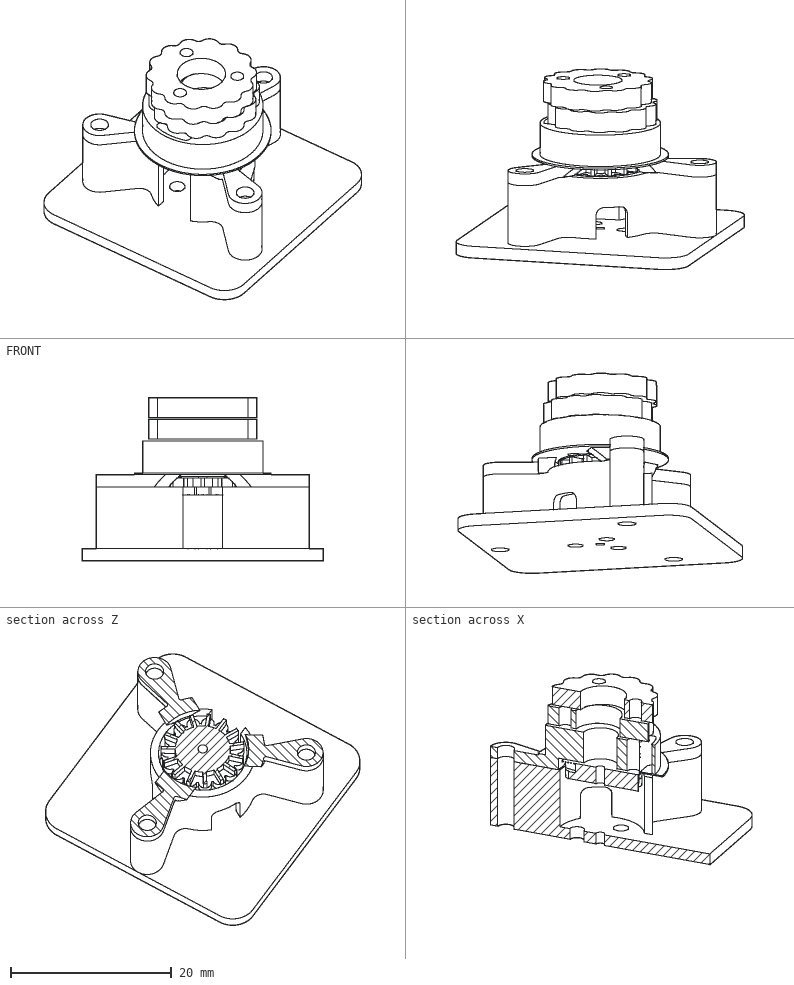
import cadquery as cq
import math

PLATE_SIDE = 30.0
PLATE_THICKNESS = 1.5
PLATE_CORNER_RADIUS = 3.0
ARM_ANGLES = (90, 210, 330)
OPENING_ANGLE = 270
SLOT_ANGLES = (30, 150)
PIN_ANGLES = (OPENING_ANGLE, *SLOT_ANGLES)

BOSS_RADIUS = 2.1
BOLT_CIRCLE_RADIUS = PLATE_SIDE / 2 - BOSS_RADIUS
BOLT_HOLE_DIAMETER = 2.2
ARM_TAPER = math.radians(15)
ARM_APEX_RADIUS = BOLT_CIRCLE_RADIUS - BOSS_RADIUS / math.sin(ARM_TAPER)
ARM_THICKNESS = 1.5

BASE_TOP = 9.2
WALL_RADIUS = 6.5
BORE_DIAMETER = 10.98
WALL_FILLET = 1.5
OPENING_WIDTH = 4.92
SLOT_WIDTH = 4.0
SLOT_HEIGHT = 4.0
SLOT_FILLET = 1.0
SHAFT_HOLE_DIAMETER = 1.1
PLATE_SCREW_HOLE_DIAMETER = 1.9
PLATE_SCREW_RADIUS = 3.18

COVER_ARM_TOP = BASE_TOP + ARM_THICKNESS
FLANGE_DIAMETER = 17.0
FLANGE_THICKNESS = 0.2
DRUM_DIAMETER = 15.0
DRUM_TOP = 14.9
DRUM_BORE_DIAMETER = 4.5
PIN_CIRCLE_RADIUS = 4.5
PIN_HOLE_DIAMETER = 1.62
GUSSET_INNER_RADIUS = 5.7
GUSSET_OUTER_RADIUS = 7.75
GUSSET_BOTTOM_HALF_WIDTH = 1.2
GUSSET_TOP_HALF_WIDTH = 3.03
GUSSET_FILLET = 0.27
POCKET_INNER_Y = -5.5
POCKET_OUTER_RADIUS = 7.02
POCKET_CORNER_RADIUS = 0.6

HUB_BOTTOM = 8.2
HUB_TOP = 10.47
HUB_CAP_THICKNESS = 0.15
HUB_RADIUS = 5.25
HUB_CORE_RADIUS = 3.45
RIB_COUNT = 15
RIB_WIDTH = 0.45
RIB_OUTER_RADIUS = 5.2
PEG_DIAMETER = 1.6
PEG_CIRCLE_RADIUS = 4.38

DISC_THICKNESS = 2.5
DISC_GAP = 0.2
LOBE_COUNT = 14
SAMPLES_PER_LOBE = 10
ECCENTRICITY = 0.3
ROLLER_DIAMETER = 1.0
DISC_MEAN_RADIUS = 6.57
DISC_BORE_DIAMETER = 6.0
DISC_HOLE_DIAMETER = 1.6


def cylinder(radius, bottom, top):
    """Solid cylinder on the Z axis between two heights."""
    return cq.Workplane("XY").workplane(offset=bottom).circle(radius).extrude(top - bottom)


def polar_point(radius, angle):
    """Point at an angle in degrees around the Z axis."""
    return (radius * math.cos(math.radians(angle)), radius * math.sin(math.radians(angle)))


def round_columns(points, diameter, bottom, top):
    """Vertical cylinders at the given points, for holes or pegs."""
    start = cq.Workplane("XY").workplane(offset=bottom)
    return start.pushPoints(points).circle(diameter / 2).extrude(top - bottom)


def turned(body, angle):
    """The body turned about the Z axis by an angle in degrees."""
    return body.rotate((0, 0, 0), (0, 0, 1), angle)


def arm_with_ring(ring_radius, fillet_radius, bottom, top):
    """Teardrop arm along +X, joined by concave fillets to a disc around the Z axis."""
    flank_offset = ARM_APEX_RADIUS * math.sin(ARM_TAPER)
    center_across = fillet_radius - flank_offset
    center_along = math.sqrt((ring_radius + fillet_radius) ** 2 - center_across**2)

    def point(along, across):
        return (
            along * math.cos(ARM_TAPER) - across * math.sin(ARM_TAPER),
            along * math.sin(ARM_TAPER) + across * math.cos(ARM_TAPER),
        )

    def mirrored(p):
        return (p[0], -p[1])

    center = point(center_along, center_across)
    to_ring = ring_radius / (ring_radius + fillet_radius)
    ring_touch = (center[0] * to_ring, center[1] * to_ring)
    flank_touch = point(center_along, -flank_offset)
    to_axis = math.atan2(-center[1], -center[0])
    to_flank = math.atan2(flank_touch[1] - center[1], flank_touch[0] - center[0])
    middle = (to_axis % math.tau + to_flank % math.tau) / 2
    fillet_middle = (
        center[0] + fillet_radius * math.cos(middle),
        center[1] + fillet_radius * math.sin(middle),
    )
    boss_touch = (
        BOLT_CIRCLE_RADIUS - BOSS_RADIUS * math.sin(ARM_TAPER),
        BOSS_RADIUS * math.cos(ARM_TAPER),
    )
    return (
        cq.Workplane("XY")
        .workplane(offset=bottom)
        .moveTo(0, 0)
        .lineTo(*ring_touch)
        .threePointArc(fillet_middle, flank_touch)
        .lineTo(*boss_touch)
        .threePointArc((BOLT_CIRCLE_RADIUS + BOSS_RADIUS, 0), mirrored(boss_touch))
        .lineTo(*mirrored(flank_touch))
        .threePointArc(mirrored(fillet_middle), mirrored(ring_touch))
        .close()
        .extrude(top - bottom)
    )


def bolt_holes(bottom, top):
    """Cutters for the screw holes at the arm ends."""
    points = [polar_point(BOLT_CIRCLE_RADIUS, angle) for angle in ARM_ANGLES]
    return round_columns(points, BOLT_HOLE_DIAMETER, bottom, top)


def make_base():
    plate = (
        cq.Workplane("XY")
        .rect(PLATE_SIDE, PLATE_SIDE)
        .extrude(PLATE_THICKNESS)
        .edges("|Z")
        .fillet(PLATE_CORNER_RADIUS)
    )
    wall = cylinder(WALL_RADIUS, PLATE_THICKNESS, BASE_TOP)
    arm = arm_with_ring(WALL_RADIUS, WALL_FILLET, PLATE_THICKNESS, BASE_TOP)
    for angle in ARM_ANGLES:
        wall = wall.union(turned(arm, angle))
    wall = wall.cut(cylinder(BORE_DIAMETER / 2, PLATE_THICKNESS, BASE_TOP))

    opening = (
        cq.Workplane("XY")
        .box(2 * WALL_RADIUS, OPENING_WIDTH, BASE_TOP - PLATE_THICKNESS, centered=(False, True, False))
        .translate((0, 0, PLATE_THICKNESS))
    )
    slot = (
        cq.Workplane("XY")
        .box(2 * WALL_RADIUS, SLOT_WIDTH, SLOT_HEIGHT, centered=(False, True, False))
        .edges("|X and >Z")
        .fillet(SLOT_FILLET)
        .translate((0, 0, PLATE_THICKNESS))
    )
    wall = wall.cut(turned(opening, OPENING_ANGLE))
    for angle in SLOT_ANGLES:
        wall = wall.cut(turned(slot, angle))

    screw_points = [polar_point(PLATE_SCREW_RADIUS, angle) for angle in ARM_ANGLES]
    return (
        plate.union(wall)
        .cut(bolt_holes(0, BASE_TOP))
        .cut(round_columns(screw_points, PLATE_SCREW_HOLE_DIAMETER, 0, PLATE_THICKNESS))
        .cut(cylinder(SHAFT_HOLE_DIAMETER / 2, 0, PLATE_THICKNESS))
    )


def make_cover_arm():
    """Arm along +X whose inner end widens upward into a gusset."""
    gusset = (
        cq.Workplane("YZ")
        .polyline(
            [
                (-GUSSET_BOTTOM_HALF_WIDTH, BASE_TOP),
                (GUSSET_BOTTOM_HALF_WIDTH, BASE_TOP),
                (GUSSET_TOP_HALF_WIDTH, COVER_ARM_TOP),
                (-GUSSET_TOP_HALF_WIDTH, COVER_ARM_TOP),
            ]
        )
        .close()
        .extrude(GUSSET_OUTER_RADIUS)
        .intersect(cylinder(GUSSET_OUTER_RADIUS, BASE_TOP, COVER_ARM_TOP))
    )
    return (
        arm_with_ring(GUSSET_OUTER_RADIUS, GUSSET_FILLET, BASE_TOP, COVER_ARM_TOP)
        .union(gusset)
        .cut(cylinder(GUSSET_INNER_RADIUS, BASE_TOP, COVER_ARM_TOP))
    )


def make_cover():
    flange_top = COVER_ARM_TOP + FLANGE_THICKNESS
    cover = cylinder(FLANGE_DIAMETER / 2, COVER_ARM_TOP, flange_top)
    cover = cover.union(cylinder(DRUM_DIAMETER / 2, flange_top, DRUM_TOP))
    arm = make_cover_arm()
    for angle in ARM_ANGLES:
        cover = cover.union(turned(arm, angle))

    pocket = (
        cylinder(POCKET_OUTER_RADIUS, flange_top, DRUM_TOP)
        .intersect(
            cq.Workplane("XY")
            .box(OPENING_WIDTH, POCKET_OUTER_RADIUS, DRUM_TOP, centered=(True, False, False))
            .translate((0, POCKET_INNER_Y - POCKET_OUTER_RADIUS, 0))
        )
        .edges("|Z")
        .fillet(POCKET_CORNER_RADIUS)
    )
    pin_points = [polar_point(PIN_CIRCLE_RADIUS, angle) for angle in PIN_ANGLES]
    return (
        cover.cut(pocket)
        .cut(cylinder(DRUM_BORE_DIAMETER / 2, COVER_ARM_TOP, DRUM_TOP))
        .cut(round_columns(pin_points, PIN_HOLE_DIAMETER, COVER_ARM_TOP, DRUM_TOP))
        .cut(bolt_holes(BASE_TOP, COVER_ARM_TOP))
    )


def make_hub():
    """Core under a thin cap, with upright ribs above and round pegs below."""
    cap = cylinder(HUB_RADIUS, HUB_TOP - HUB_CAP_THICKNESS, HUB_TOP)
    core = cylinder(HUB_CORE_RADIUS, BASE_TOP, HUB_TOP)
    lower_core = cylinder(PEG_CIRCLE_RADIUS, HUB_BOTTOM, BASE_TOP)

    angles = [OPENING_ANGLE + index * 360 / RIB_COUNT for index in range(RIB_COUNT)]
    peg_points = [polar_point(PEG_CIRCLE_RADIUS, angle) for angle in angles]
    pegs = round_columns(peg_points, PEG_DIAMETER, HUB_BOTTOM, BASE_TOP)

    rib_inner_radius = HUB_CORE_RADIUS - RIB_WIDTH
    rib_length = RIB_OUTER_RADIUS - rib_inner_radius
    rib = (
        cq.Workplane("XY")
        .box(rib_length, RIB_WIDTH, HUB_TOP - BASE_TOP, centered=(False, True, False))
        .translate((rib_inner_radius, 0, BASE_TOP))
    )
    upper = core.union(cap)
    for angle in angles:
        upper = upper.union(turned(rib, angle))
    hub = lower_core.union(pegs).union(upper)
    return hub.cut(cylinder(SHAFT_HOLE_DIAMETER / 2, HUB_BOTTOM, HUB_TOP))


def cycloid_point(turn):
    """Point on the lobed disc outline, with a lobe on the -Y axis; turn runs from 0 to 1."""
    t = math.tau * turn
    roller_radius = ROLLER_DIAMETER / 2
    roller_circle_radius = DISC_MEAN_RADIUS + roller_radius
    ratio = roller_circle_radius / (ECCENTRICITY * (LOBE_COUNT + 1))
    lean = math.atan2(math.sin(LOBE_COUNT * t), ratio + math.cos(LOBE_COUNT * t))
    radial = (
        roller_circle_radius * math.cos(t)
        - roller_radius * math.cos(t + lean)
        + ECCENTRICITY * math.cos((LOBE_COUNT + 1) * t)
    )
    across = (
        roller_circle_radius * math.sin(t)
        - roller_radius * math.sin(t + lean)
        + ECCENTRICITY * math.sin((LOBE_COUNT + 1) * t)
    )
    return (across, -radial)


def make_disc(bottom, offset_y, turn_angle):
    """Cycloidal disc with a bore and three pin holes, shifted off the axis along Y."""
    samples = SAMPLES_PER_LOBE * LOBE_COUNT
    outline = [cycloid_point(index / samples) for index in range(samples)]
    hole_points = [polar_point(PIN_CIRCLE_RADIUS, angle) for angle in PIN_ANGLES]
    disc = (
        cq.Workplane("XY")
        .spline(outline, periodic=True)
        .close()
        .extrude(DISC_THICKNESS)
        .cut(cylinder(DISC_BORE_DIAMETER / 2, 0, DISC_THICKNESS))
        .cut(round_columns(hole_points, DISC_HOLE_DIAMETER, 0, DISC_THICKNESS))
    )
    return turned(disc, turn_angle).translate((0, offset_y, bottom))


base = make_base()
cover = make_cover()
hub = make_hub()

lower_disc_bottom = DRUM_TOP + DISC_GAP
upper_disc_bottom = lower_disc_bottom + DISC_THICKNESS + DISC_GAP
lower_disc = make_disc(lower_disc_bottom, ECCENTRICITY, 180)
upper_disc = make_disc(upper_disc_bottom, -ECCENTRICITY, 0)

bodies = (base, cover, hub, lower_disc, upper_disc)
result = cq.Compound.makeCompound([body.solids().val() for body in bodies])